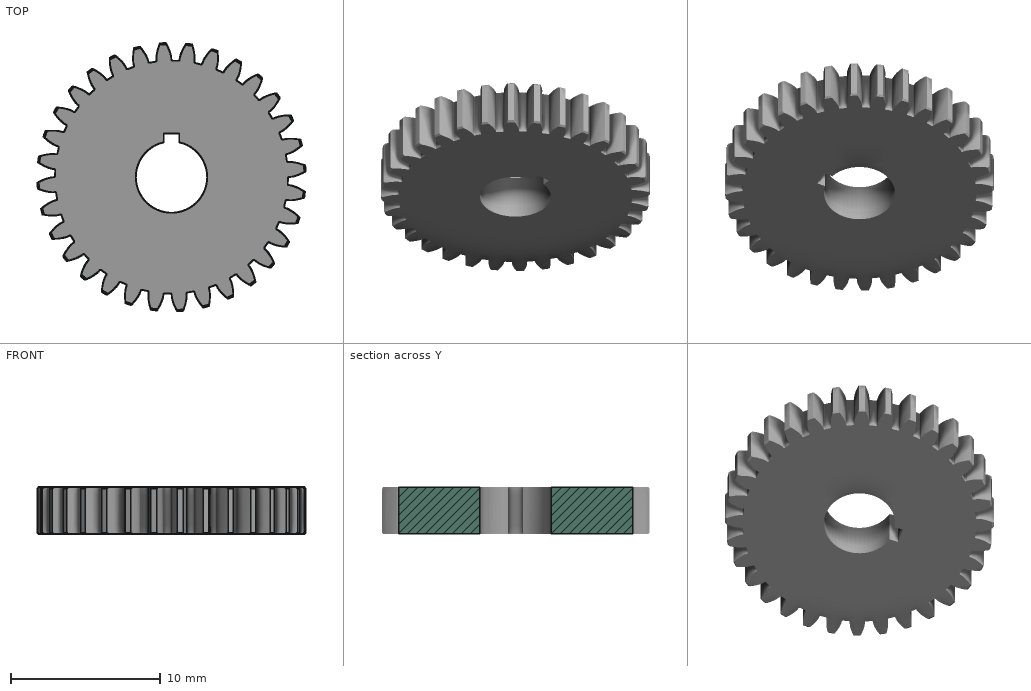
import cadquery as cq
import math

OUTER_DIAMETER = 18.0
THICKNESS = 3.16
TIP_CHAMFER = 0.1

TOOTH_COUNT = 32
PRESSURE_ANGLE = math.radians(20)
ADDENDUM = 1.0
DEDENDUM = 1.25
FIRST_TOOTH_ANGLE = 3.7
FLANK_POINTS = 6
ROOT_FILLET = 0.07

BORE_DIAMETER = 4.76
KEYWAY_WIDTH = 1.02
KEYWAY_TOP = 2.91

OUTER_RADIUS = OUTER_DIAMETER / 2
MODULE = OUTER_DIAMETER / (TOOTH_COUNT + 2 * ADDENDUM)
PITCH_RADIUS = MODULE * TOOTH_COUNT / 2
ROOT_RADIUS = PITCH_RADIUS - DEDENDUM * MODULE
BASE_RADIUS = PITCH_RADIUS * math.cos(PRESSURE_ANGLE)
TOOTH_PITCH = 2 * math.pi / TOOTH_COUNT

FILLET_CENTRE_RADIUS = ROOT_RADIUS + ROOT_FILLET
FILLET_TOP_RADIUS = math.sqrt(FILLET_CENTRE_RADIUS**2 - ROOT_FILLET**2)
FILLET_ANGLE = math.asin(ROOT_FILLET / FILLET_CENTRE_RADIUS)


def involute(angle):
    return math.tan(angle) - angle


def polar(radius, angle):
    return (radius * math.cos(angle), radius * math.sin(angle))


def half_tooth_angle(radius):
    """Angle from the tooth centre line to its involute flank at the given radius."""
    flank_angle = math.acos(BASE_RADIUS / radius)
    return TOOTH_PITCH / 4 + involute(PRESSURE_ANGLE) - involute(flank_angle)


def flank(centre_angle, side):
    """Flank points from the base circle to the tip; side is -1 or +1 about the tooth centre line."""
    step = (OUTER_RADIUS - BASE_RADIUS) / (FLANK_POINTS - 1)
    radii = [BASE_RADIUS + i * step for i in range(FLANK_POINTS)]
    return [polar(r, centre_angle + side * half_tooth_angle(r)) for r in radii]


def gear_outline():
    """Closed outline of all teeth, going counter-clockwise."""
    foot_half_angle = half_tooth_angle(BASE_RADIUS)
    first_centre = math.radians(FIRST_TOOTH_ANGLE)
    outline = cq.Workplane("XY").moveTo(*polar(FILLET_TOP_RADIUS, first_centre - foot_half_angle))
    for tooth in range(TOOTH_COUNT):
        centre = first_centre + tooth * TOOTH_PITCH
        rising = flank(centre, -1)
        falling = flank(centre, 1)[::-1]
        gap_start = centre + foot_half_angle
        gap_middle = centre + TOOTH_PITCH / 2
        gap_end = centre + TOOTH_PITCH - foot_half_angle
        root_start = polar(ROOT_RADIUS, gap_start + FILLET_ANGLE)
        root_middle = polar(ROOT_RADIUS, gap_middle)
        root_end = polar(ROOT_RADIUS, gap_end - FILLET_ANGLE)
        outline = (
            outline.lineTo(*rising[0])
            .spline(rising[1:], includeCurrent=True)
            .threePointArc(polar(OUTER_RADIUS, centre), falling[0])
            .spline(falling[1:], includeCurrent=True)
            .lineTo(*polar(FILLET_TOP_RADIUS, gap_start))
            .tangentArcPoint(root_start, relative=False)
            .threePointArc(root_middle, root_end)
            .tangentArcPoint(polar(FILLET_TOP_RADIUS, gap_end), relative=False)
        )
    return outline.close()


def chamfered_blank():
    """Plain disc whose chamfered rims bevel the tooth tips on both faces."""
    return cq.Workplane("XY").circle(OUTER_RADIUS).extrude(THICKNESS).edges("%CIRCLE").chamfer(TIP_CHAMFER)


def keyed_bore():
    """Through bore with a rectangular keyway on the +Y side."""
    bore = cq.Workplane("XY").circle(BORE_DIAMETER / 2).extrude(THICKNESS)
    keyway = cq.Workplane("XY").center(0, KEYWAY_TOP / 2).rect(KEYWAY_WIDTH, KEYWAY_TOP).extrude(THICKNESS)
    return bore.union(keyway)


teeth = gear_outline().extrude(THICKNESS)
result = teeth.intersect(chamfered_blank()).cut(keyed_bore())